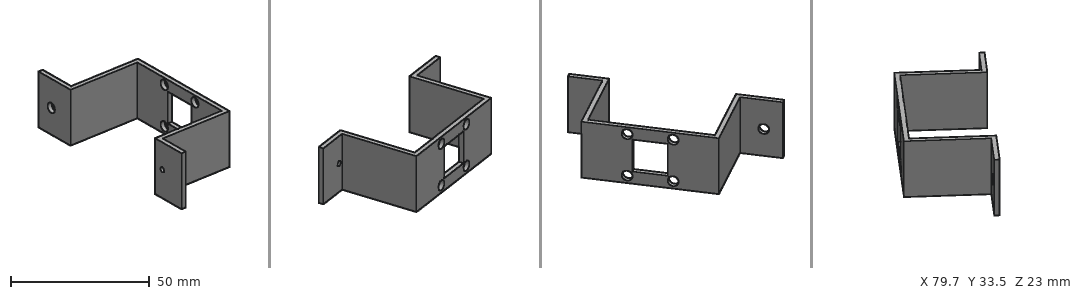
import cadquery as cq

length = 79.7
depth = 33.5
height = 23.0
thickness = 2.0

left_flange_length = 17.85
channel_left = -length / 2 + left_flange_length
channel_width = 47.0
channel_right = channel_left + channel_width

window_size = 13.1
window_x = 1.5
window_z = 0.1
pattern_pitch = 17.05
pattern_hole_diameter = 4.0

left_hole_diameter = 4.0
left_hole_x = -32.8
left_hole_z = -0.5
right_hole_diameter = 2.0
right_hole_x = 29.1
right_hole_z = 0.2


def block(x_start, x_end, y_start, y_end):
    """Full-height plate centred on Z = 0."""
    return (
        cq.Workplane("XY")
        .box(x_end - x_start, y_end - y_start, height, centered=(False, False, True))
        .translate((x_start, y_start, 0))
    )


def plate_sketch(x, z, y_start):
    """Workplane facing -Y on the front face of a plate, centred on (x, z)."""
    return cq.Workplane("XZ", origin=(x, y_start, z))


def round_cutter(x, z, diameter, y_start):
    """Cylinder along +Y through one plate thickness."""
    return plate_sketch(x, z, y_start).circle(diameter / 2).extrude(-thickness)


left_flange = block(-length / 2, channel_left, 0, thickness)
right_flange = block(channel_right, length / 2, 0, thickness)
left_wall = block(channel_left - thickness, channel_left, 0, depth)
right_wall = block(channel_right, channel_right + thickness, 0, depth)
back_y = depth - thickness
back_wall = block(channel_left - thickness, channel_right + thickness, back_y, depth)
result = left_flange.union(left_wall).union(back_wall).union(right_wall).union(right_flange)

window = plate_sketch(window_x, window_z, back_y).rect(window_size, window_size).extrude(-thickness)
result = result.cut(window)

for x_side in (-1, 1):
    for z_side in (-1, 1):
        hole_x = window_x + x_side * pattern_pitch / 2
        hole_z = window_z + z_side * pattern_pitch / 2
        result = result.cut(round_cutter(hole_x, hole_z, pattern_hole_diameter, back_y))

result = result.cut(round_cutter(left_hole_x, left_hole_z, left_hole_diameter, 0))
result = result.cut(round_cutter(right_hole_x, right_hole_z, right_hole_diameter, 0))